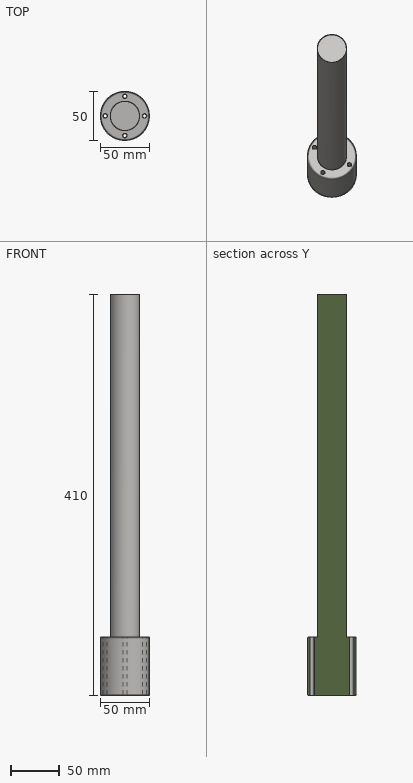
import cadquery as cq

total_length = 410
body_diameter = 50.0
body_length = 60.0
rod_diameter = 30.0

edge_radius = 1.0

hole_diameter = 4.0
hole_circle_diameter = 40.0
hole_count = 4


def make_body():
    """Cylindrical body with both outer edges rounded."""
    body = cq.Workplane("XY").circle(body_diameter / 2).extrude(body_length)
    body = body.faces(">Z").edges().fillet(edge_radius)
    return body.faces("<Z").edges().fillet(edge_radius)


def make_rod():
    """Plain rod running through the body to the full length."""
    return cq.Workplane("XY").circle(rod_diameter / 2).extrude(total_length)


def make_holes():
    """Holes passing through the full body length, evenly spaced around the rod."""
    return (
        cq.Workplane("XY")
        .workplane(offset=body_length)
        .polarArray(hole_circle_diameter / 2, 0, 360, hole_count)
        .circle(hole_diameter / 2)
        .extrude(-body_length)
    )


result = make_body().union(make_rod()).cut(make_holes())